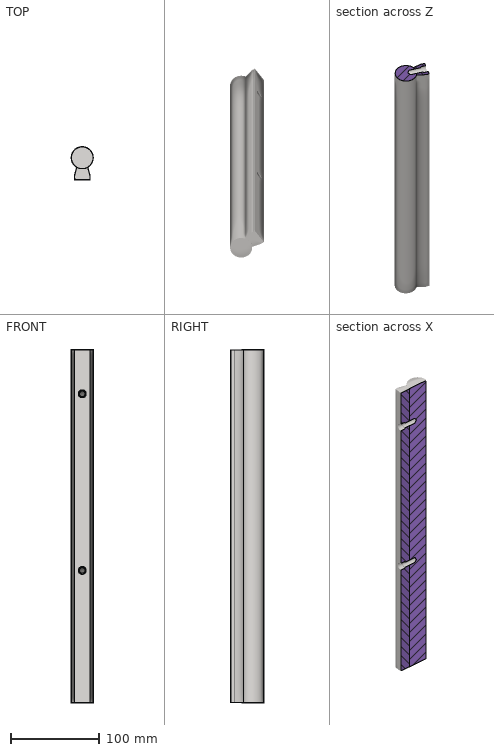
import cadquery as cq
import math

length = 400.0
shaft_diameter = 25.0
shaft_radius = shaft_diameter / 2

overall_depth = 37.5
rail_end_setback = 0.2
foot_width = 18.0
foot_height = 4.5
neck_width = 13.0
base_y = shaft_radius - overall_depth
foot_top_y = base_y + foot_height
neck_y = -math.sqrt(shaft_radius**2 - (neck_width / 2) ** 2)

groove_depth = 0.5
groove_width = 1.5
groove_center_y = base_y + 1.0

hole_diameter = 6.5
counterbore_diameter = 9.0
counterbore_depth = 6.0
depth_in_shaft = 8.0
drill_point_angle = 118.0
hole_pitch = length / 2
first_hole_z = 150.0
hole_count = 2


def make_hole_cutter(z):
    """Revolved cutter entering the rail base along +Y, ending in a drill point."""
    hole_radius = hole_diameter / 2
    counterbore_radius = counterbore_diameter / 2
    seat_y = base_y + counterbore_depth
    shoulder_y = -shaft_radius + depth_in_shaft
    tip_y = shoulder_y + hole_radius / math.tan(math.radians(drill_point_angle / 2))
    return (
        cq.Workplane("XY")
        .moveTo(0, base_y)
        .lineTo(counterbore_radius, base_y)
        .lineTo(counterbore_radius, seat_y)
        .lineTo(hole_radius, seat_y)
        .lineTo(hole_radius, shoulder_y)
        .lineTo(0, tip_y)
        .close()
        .revolve(360, (0, 0, 0), (0, 1, 0))
        .translate((0, 0, z))
    )


def cut_screw_holes(body):
    for index in range(hole_count):
        body = body.cut(make_hole_cutter(first_hole_z + index * hole_pitch))
    return body


def make_shaft():
    shaft_blank = cq.Workplane("XY").circle(shaft_radius).extrude(length)
    return cut_screw_holes(shaft_blank)


def make_groove_cutter():
    return (
        cq.Workplane("XY")
        .center(-foot_width / 2, groove_center_y)
        .rect(2 * groove_depth, groove_width)
        .extrude(length)
    )


def make_support_rail():
    rail = (
        cq.Workplane("XY")
        .workplane(offset=rail_end_setback)
        .moveTo(-foot_width / 2, base_y)
        .lineTo(foot_width / 2, base_y)
        .lineTo(foot_width / 2, foot_top_y)
        .lineTo(neck_width / 2, neck_y)
        .threePointArc((0, -shaft_radius), (-neck_width / 2, neck_y))
        .lineTo(-foot_width / 2, foot_top_y)
        .close()
        .extrude(length - 2 * rail_end_setback)
    )
    return cut_screw_holes(rail.cut(make_groove_cutter()))


shaft = make_shaft()
support_rail = make_support_rail()
result = cq.Compound.makeCompound([shaft.val(), support_rail.val()])